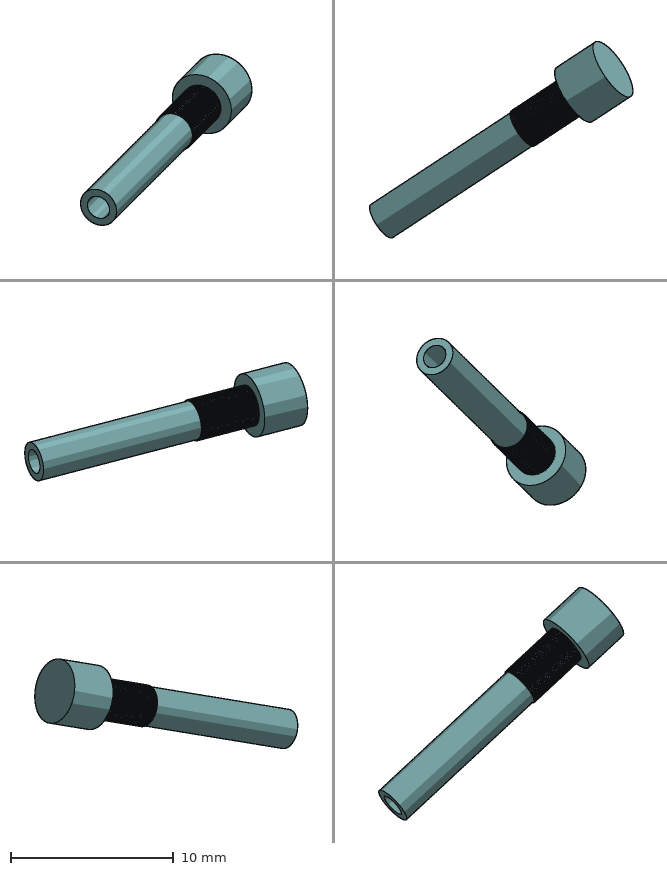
import cadquery as cq
import math

HEAD_DIAMETER = 4.0
HEAD_LENGTH = 3.0
TOTAL_LENGTH = 18.0
SHANK_LENGTH = TOTAL_LENGTH - HEAD_LENGTH
TUBE_DIAMETER = 2.45

KNURL_TIP_DIAMETER = 2.6
KNURL_ROOT_DIAMETER = 2.51
KNURL_LENGTH = 4.0
KNURL_TEETH = 80

BORE_DIAMETER = 1.5
BORE_DEPTH = SHANK_LENGTH / 2
DRILL_POINT_ANGLE = 118.0


def cylinder(diameter, start_y, end_y):
    """Cylinder on the Y axis between two stations."""
    base = cq.Workplane("XZ", origin=(0, start_y, 0)).circle(diameter / 2)
    return base.extrude(start_y - end_y)


def knurl():
    """Sharp V-shaped teeth running parallel to the axis."""
    half_pitch = math.pi / KNURL_TEETH
    outline = []
    for step in range(2 * KNURL_TEETH):
        is_tip = step % 2 == 0
        radius = (KNURL_TIP_DIAMETER if is_tip else KNURL_ROOT_DIAMETER) / 2
        angle = step * half_pitch
        outline.append((radius * math.cos(angle), radius * math.sin(angle)))
    return cq.Workplane("XZ").polyline(outline).close().extrude(KNURL_LENGTH)


def bore():
    """Drilled hole with a conical bottom, as a revolved half-profile."""
    radius = BORE_DIAMETER / 2
    mouth_y = -SHANK_LENGTH
    shoulder_y = mouth_y + BORE_DEPTH
    point_length = radius / math.tan(math.radians(DRILL_POINT_ANGLE / 2))
    profile = (
        cq.Workplane("XY")
        .moveTo(0, mouth_y)
        .lineTo(radius, mouth_y)
        .lineTo(radius, shoulder_y)
        .lineTo(0, shoulder_y + point_length)
        .close()
    )
    return profile.revolve(360, (0, 0, 0), (0, 1, 0))


head = cylinder(HEAD_DIAMETER, 0, HEAD_LENGTH)
tube = cylinder(TUBE_DIAMETER, -SHANK_LENGTH, -KNURL_LENGTH)
result = head.union(knurl()).union(tube).cut(bore())